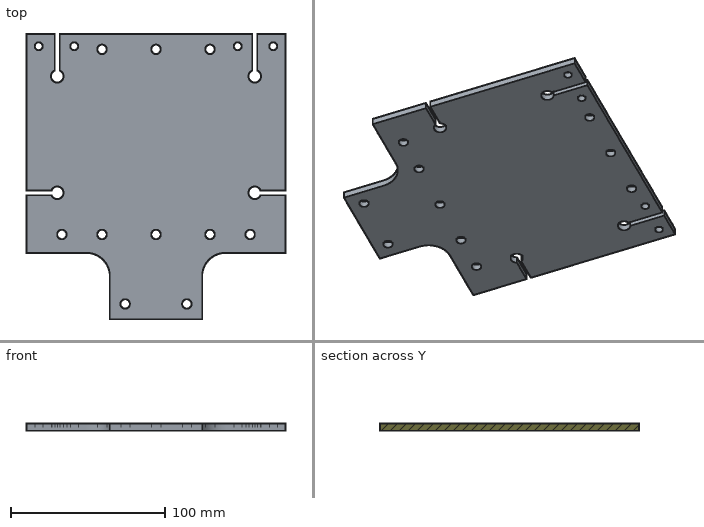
import cadquery as cq

width = 168.0
length = 185.0
thickness = 5.0

tab_width = 60.0
tab_length = 43.0
tab_corner_radius = 15.0
corner_margin = 1.0

slot_width = 3.0
relief_diameter = 8.0
relief_x = 64.0
end_relief_y = length - 27.5
side_relief_y = 82.0

small_hole_diameter = 5.0
large_hole_diameter = 6.0
small_hole_y = length - 8.0
outer_small_hole_x = 76.0
inner_small_hole_x = 53.0
upper_row_y = length - 10.0
lower_row_y = 55.0
row_hole_x = 35.0
lower_row_end_x = 61.0
tab_hole_x = 20.0
tab_hole_y = 10.0


def mirrored(x, y):
    """A point and its mirror image across X = 0."""
    return [(-x, y), (x, y)]


def make_plate():
    """Wide body with a narrower tab, joined by concave rounded corners."""
    body_length = length - tab_length
    body = cq.Workplane("XY").box(width, body_length, thickness, centered=(True, False, False))
    body = body.translate((0, tab_length, 0))
    tab = cq.Workplane("XY").box(tab_width, length, thickness, centered=(True, False, False))
    inner_corners = cq.selectors.BoxSelector(
        (-tab_width / 2 - corner_margin, tab_length - corner_margin, -corner_margin),
        (tab_width / 2 + corner_margin, tab_length + corner_margin, thickness + corner_margin),
    )
    return body.union(tab).edges("|Z").edges(inner_corners).fillet(tab_corner_radius)


def slot_cutter(x_min, x_max, y_min, y_max):
    """Rectangular cutter through the full thickness."""
    size_x = x_max - x_min
    size_y = y_max - y_min
    cutter = cq.Workplane("XY").box(size_x, size_y, thickness, centered=False)
    return cutter.translate((x_min, y_min, 0))


def hole_cutter(points, diameter):
    """Round cutters through the full thickness."""
    return cq.Workplane("XY").pushPoints(points).circle(diameter / 2).extrude(thickness)


def cut_keyhole_slots(plate):
    """Slots from the +Y end and from both sides, each ending in a round relief."""
    half_slot = slot_width / 2
    for x, y in mirrored(relief_x, end_relief_y):
        plate = plate.cut(slot_cutter(x - half_slot, x + half_slot, y, length))
    for x, y in mirrored(relief_x, side_relief_y):
        edge_x = width / 2 if x > 0 else -width / 2
        plate = plate.cut(slot_cutter(min(x, edge_x), max(x, edge_x), y - half_slot, y + half_slot))
    reliefs = mirrored(relief_x, end_relief_y) + mirrored(relief_x, side_relief_y)
    return plate.cut(hole_cutter(reliefs, relief_diameter))


def cut_round_holes(plate):
    """Small holes beside the end slots, two rows of large holes and the tab pair."""
    small_holes = mirrored(outer_small_hole_x, small_hole_y) + mirrored(inner_small_hole_x, small_hole_y)
    large_holes = mirrored(tab_hole_x, tab_hole_y) + mirrored(lower_row_end_x, lower_row_y)
    for row_y in (upper_row_y, lower_row_y):
        large_holes += mirrored(row_hole_x, row_y) + [(0, row_y)]
    plate = plate.cut(hole_cutter(small_holes, small_hole_diameter))
    return plate.cut(hole_cutter(large_holes, large_hole_diameter))


result = cut_round_holes(cut_keyhole_slots(make_plate()))